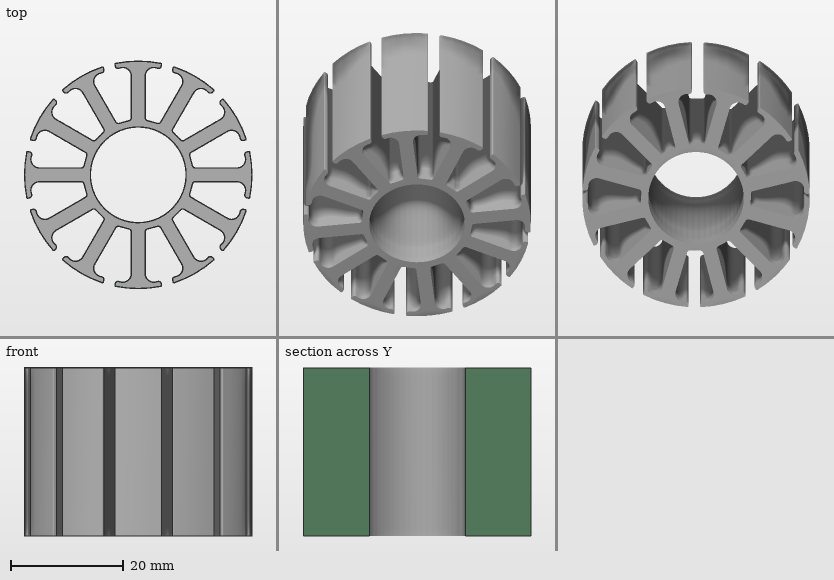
import cadquery as cq
import math

outer_diameter = 40.51
bore_diameter = 17.0
stack_length = 30.0
tooth_count = 12
tooth_width = 2.5
shoe_thickness = 1.05
slot_opening = 2.1
core_wall = 1.25
floor_fillet = 0.5
shoe_fillet = 1.5
tip_outer_fillet = 0.2
tip_inner_fillet = 0.5

outer_radius = outer_diameter / 2
shoe_inner_height = outer_radius - shoe_thickness
slot_floor_height = bore_diameter / 2 + core_wall
slot_pitch = 360 / tooth_count
half_pitch = math.radians(slot_pitch / 2)
half_tooth = tooth_width / 2
position_tolerance = 0.001


def slot_wall_x(height):
    """Half width of the slot where its wall, parallel to the tooth axis, reaches this height."""
    return height * math.tan(half_pitch) - half_tooth / math.cos(half_pitch)


def make_winding_slot():
    """Winding slot centred on +Y: flat floor and shoe underside, walls along the teeth."""
    floor_half_width = slot_wall_x(slot_floor_height)
    shoe_half_width = slot_wall_x(shoe_inner_height)
    pocket = (
        cq.Workplane("XY")
        .moveTo(-floor_half_width, slot_floor_height)
        .lineTo(floor_half_width, slot_floor_height)
        .lineTo(shoe_half_width, shoe_inner_height)
        .lineTo(-shoe_half_width, shoe_inner_height)
        .close()
        .extrude(stack_length)
    )
    pocket = pocket.edges("|Z and <Y").fillet(floor_fillet)
    return pocket.edges("|Z and (<X or >X)").fillet(shoe_fillet)


def make_slot_mouth():
    """Parallel-sided opening between two neighbouring shoes, running out past the rim."""
    mouth_start = (slot_floor_height + shoe_inner_height) / 2
    mouth_length = outer_radius + shoe_thickness - mouth_start
    return (
        cq.Workplane("XY")
        .center(0, mouth_start + mouth_length / 2)
        .rect(slot_opening, mouth_length)
        .extrude(stack_length)
    )


def tip_edge_filter(height):
    """Test for vertical edges on a slot mouth wall at this height along the slot axis."""
    tip_radius = math.hypot(slot_opening / 2, height)

    def is_tip_edge(edge):
        center = edge.Center()
        return math.isclose(math.hypot(center.x, center.y), tip_radius, abs_tol=position_tolerance)

    return is_tip_edge


def make_stator():
    """Slotted core with rounded shoe tips; a tooth lies on each of the X and Y axes."""
    stator = cq.Workplane("XY").circle(outer_radius).circle(bore_diameter / 2).extrude(stack_length)
    slot = make_winding_slot().union(make_slot_mouth())
    for index in range(tooth_count):
        slot_angle = (index + 0.5) * slot_pitch
        stator = stator.cut(slot.rotate((0, 0, 0), (0, 0, 1), slot_angle))
    rim_height = math.sqrt(outer_radius**2 - (slot_opening / 2) ** 2)
    stator = stator.edges("|Z").filter(tip_edge_filter(rim_height)).fillet(tip_outer_fillet)
    return stator.edges("|Z").filter(tip_edge_filter(shoe_inner_height)).fillet(tip_inner_fillet)


result = make_stator()